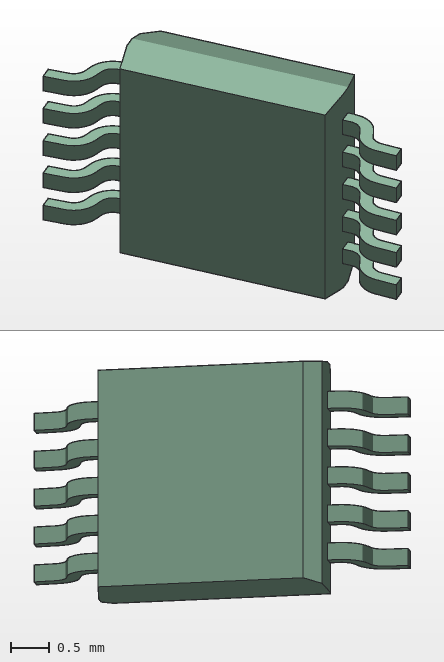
import cadquery as cq
import math


body_side = 3.0
body_height = 1.0
standoff = 0.1
lower_height = 0.425
upper_height = 0.395
draft_angle = 10
edge_chamfer = 0.205
band_height = body_height - lower_height - upper_height

span = 4.9
leads_per_side = 5
lead_pitch = 0.5
lead_width = 0.225
lead_thickness = 0.175
shoulder_length = 0.115
embed_length = 0.145
bend_radius = 0.19
leg_angle = math.radians(72)
foot_angle = math.radians(3)


def make_body():
    """Square body drafted both ways from the parting band, bevelled along one upper edge."""
    band_bottom = standoff + lower_height
    band_top = band_bottom + band_height
    body_top = standoff + body_height

    def section(y, height, taper):
        plane = cq.Workplane("XZ", origin=(0, y, 0))
        return plane.rect(body_side, body_side).extrude(height, taper=taper)

    band = section(band_bottom, -band_height, 0)
    lower = section(band_bottom, lower_height, draft_angle)
    upper = section(band_top, -upper_height, draft_angle)

    draft = math.tan(math.radians(draft_angle))
    bevel_x = -body_side / 2 + (upper_height - edge_chamfer) * draft
    bevel = (
        cq.Workplane("XY")
        .moveTo(bevel_x, body_top - edge_chamfer)
        .lineTo(bevel_x + edge_chamfer, body_top)
        .lineTo(bevel_x - edge_chamfer, body_top)
        .lineTo(bevel_x - edge_chamfer, body_top - 2 * edge_chamfer)
        .close()
        .extrude(body_side / 2, both=True)
    )
    return band.union(lower).union(upper.cut(bevel))


def lead_profile():
    """Closed gull-wing outline of a lead on the +X side."""
    half = lead_thickness / 2
    mid_height = standoff + body_height / 2
    tip_height = half / math.cos(foot_angle)
    tip_x = span / 2
    start_x = body_side / 2 - embed_length
    middle_radius = bend_radius + half
    outside_radius = bend_radius + lead_thickness

    bend_x = body_side / 2 + shoulder_length
    run = tip_x - bend_x - middle_radius * (2 * math.sin(leg_angle) - math.sin(foot_angle))
    drop = mid_height - tip_height
    drop -= middle_radius * (1 + math.cos(foot_angle) - 2 * math.cos(leg_angle))
    leg_length = drop * math.cos(foot_angle) - run * math.sin(foot_angle)
    leg_length /= math.sin(leg_angle - foot_angle)

    upper_x = bend_x
    upper_y = mid_height - middle_radius
    lower_x = upper_x + 2 * middle_radius * math.sin(leg_angle) + leg_length * math.cos(leg_angle)
    lower_y = upper_y + 2 * middle_radius * math.cos(leg_angle) - leg_length * math.sin(leg_angle)

    def on_upper(radius, angle):
        """Point on the shoulder bend where the lead slopes down at the given angle."""
        return upper_x + radius * math.sin(angle), upper_y + radius * math.cos(angle)

    def on_lower(radius, angle):
        """Point on the foot bend where the lead slopes down at the given angle."""
        return lower_x - radius * math.sin(angle), lower_y - radius * math.cos(angle)

    upper_middle = leg_angle / 2
    lower_middle = (leg_angle + foot_angle) / 2
    return (
        cq.Workplane("XY")
        .moveTo(start_x, mid_height + half)
        .lineTo(bend_x, mid_height + half)
        .threePointArc(on_upper(outside_radius, upper_middle), on_upper(outside_radius, leg_angle))
        .lineTo(*on_lower(bend_radius, leg_angle))
        .threePointArc(on_lower(bend_radius, lower_middle), on_lower(bend_radius, foot_angle))
        .lineTo(tip_x, 2 * tip_height)
        .lineTo(tip_x, 0)
        .lineTo(*on_lower(outside_radius, foot_angle))
        .threePointArc(on_lower(outside_radius, lower_middle), on_lower(outside_radius, leg_angle))
        .lineTo(*on_upper(bend_radius, leg_angle))
        .threePointArc(on_upper(bend_radius, upper_middle), on_upper(bend_radius, 0))
        .lineTo(start_x, mid_height - half)
        .close()
    )


right_lead = lead_profile().extrude(lead_width / 2, both=True)
left_lead = right_lead.rotate((0, 0, 0), (0, 1, 0), 180)

result = make_body()
for index in range(leads_per_side):
    z = (index - (leads_per_side - 1) / 2) * lead_pitch
    result = result.union(right_lead.translate((0, 0, z)))
    result = result.union(left_lead.translate((0, 0, z)))